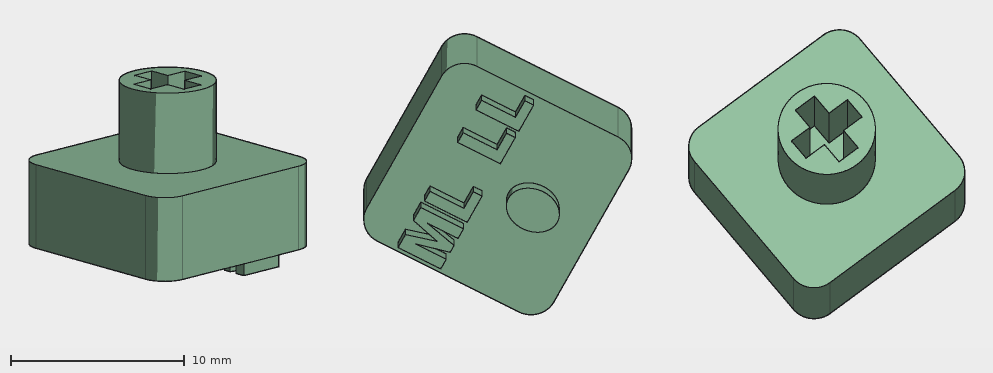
import cadquery as cq

BODY_X = 12.14
BODY_Y = 12.2
BODY_HEIGHT = 5.0
CORNER_RADIUS = 1.5

STEM_DIAMETER = 5.6
STEM_HEIGHT = 4.8
CROSS_LENGTH_X = 4.1
CROSS_LENGTH_Y = 4.05
BAR_ALONG_X_WIDTH = 1.35
BAR_ALONG_Y_WIDTH = 1.4
SOCKET_DEPTH = STEM_HEIGHT

MARK_HEIGHT = 0.9
ROW_FRONT_Y = 0.75
ROW_BACK_Y = 3.53
STROKE_WIDTH = 0.67
FOOT_WIDTH = 0.57
ANGLE_MARK_WIDTH = 1.82
ANGLE_MARK_RIGHT_X = (-3.98, -1.73, 2.33)

VEE_MARK_CENTER_X = 4.17
VEE_MARK_WIDTH = 2.78
VEE_TIP_WIDTH = 0.48
VEE_SHOULDER_WIDTH = 0.9
VEE_OUTER_DEPTH = 2.0
VEE_INNER_DEPTH = 1.8

OVAL_CENTER = (-0.1, -2.235)
OVAL_LENGTH_X = 2.55
OVAL_LENGTH_Y = 3.17


def make_body():
    """Block with four rounded upright corners."""
    block = cq.Workplane("XY").box(BODY_X, BODY_Y, BODY_HEIGHT, centered=(True, True, False))
    return block.edges("|Z").fillet(CORNER_RADIUS)


def make_stem():
    """Round post standing on the body."""
    return cq.Workplane("XY").workplane(offset=BODY_HEIGHT).circle(STEM_DIAMETER / 2).extrude(STEM_HEIGHT)


def make_socket():
    """Cross-shaped cutter reaching down from the top of the stem."""
    top = cq.Workplane("XY").workplane(offset=BODY_HEIGHT + STEM_HEIGHT)
    bar_along_x = top.rect(CROSS_LENGTH_X, BAR_ALONG_X_WIDTH).extrude(-SOCKET_DEPTH)
    bar_along_y = top.rect(BAR_ALONG_Y_WIDTH, CROSS_LENGTH_Y).extrude(-SOCKET_DEPTH)
    return bar_along_x.union(bar_along_y)


def make_angle_mark(right_x):
    """L-shaped mark: an upright stroke on the +X side and a foot running toward -X."""
    left_x = right_x - ANGLE_MARK_WIDTH
    stroke_x = right_x - STROKE_WIDTH
    foot_y = ROW_FRONT_Y + FOOT_WIDTH
    outline = [
        (left_x, ROW_FRONT_Y),
        (right_x, ROW_FRONT_Y),
        (right_x, ROW_BACK_Y),
        (stroke_x, ROW_BACK_Y),
        (stroke_x, foot_y),
        (left_x, foot_y),
    ]
    return cq.Workplane("XY").polyline(outline).close().extrude(-MARK_HEIGHT)


def make_vee_mark():
    """M-shaped mark: two upright strokes joined by a vee that points toward -Y."""
    half_width = VEE_MARK_WIDTH / 2
    stroke_inside = half_width - STROKE_WIDTH
    right_half = [
        (VEE_TIP_WIDTH / 2, ROW_FRONT_Y),
        (stroke_inside, ROW_FRONT_Y + VEE_OUTER_DEPTH),
        (stroke_inside, ROW_FRONT_Y),
        (half_width, ROW_FRONT_Y),
        (half_width, ROW_BACK_Y),
        (half_width - VEE_SHOULDER_WIDTH, ROW_BACK_Y),
    ]
    left_half = [(-x, y) for x, y in reversed(right_half)]
    outline = right_half + [(0, ROW_BACK_Y - VEE_INNER_DEPTH)] + left_half
    mark = cq.Workplane("XY").polyline(outline).close().extrude(-MARK_HEIGHT)
    return mark.translate((VEE_MARK_CENTER_X, 0, 0))


def make_oval_mark():
    """Plain oval pad in front of the row."""
    start = cq.Workplane("XY").center(*OVAL_CENTER)
    return start.ellipse(OVAL_LENGTH_X / 2, OVAL_LENGTH_Y / 2).extrude(-MARK_HEIGHT)


result = make_body().union(make_stem()).cut(make_socket())
for mark_right_x in ANGLE_MARK_RIGHT_X:
    result = result.union(make_angle_mark(mark_right_x))
result = result.union(make_vee_mark()).union(make_oval_mark())